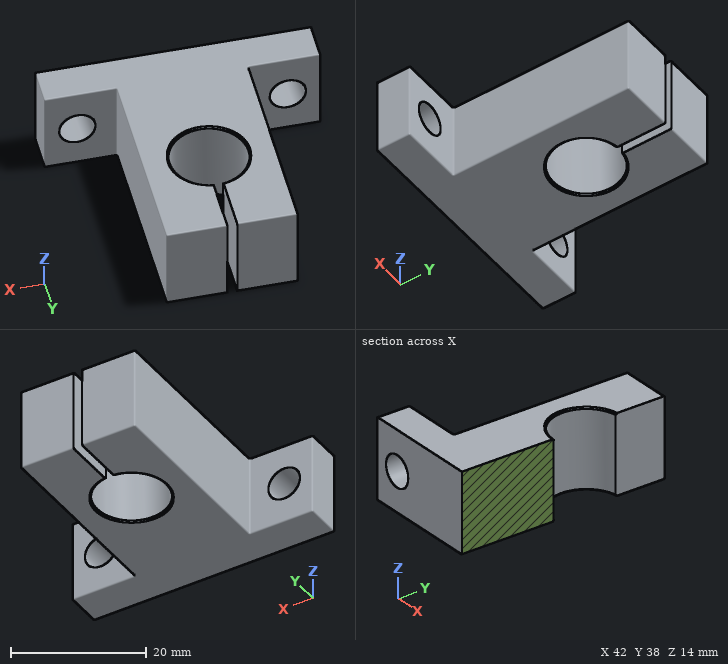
import cadquery as cq


foot_width = 42.0
foot_thickness = 6.0
block_depth = 14.0

column_width = 20.0
total_height = 38.0
bore_diameter = 12.0
bore_height = 23.0
slit_width = 1.5

mount_hole_diameter = 5.5
mount_hole_spacing = 32.0

edge_radius = 0.25
bore_chamfer = 0.25


def make_body():
    """Extrude the T outline and round all its edges except those around the mounting face."""
    foot_half = foot_width / 2
    column_half = column_width / 2
    outline = [
        (-foot_half, 0),
        (foot_half, 0),
        (foot_half, foot_thickness),
        (column_half, foot_thickness),
        (column_half, total_height),
        (-column_half, total_height),
        (-column_half, foot_thickness),
        (-foot_half, foot_thickness),
    ]
    tee = cq.Workplane("XY").polyline(outline).close().extrude(block_depth / 2, both=True)
    return tee.edges("not(#Y and <Y)").fillet(edge_radius)


def make_bore():
    """Shaft bore through the full depth, with a countersunk rim at both ends."""
    bore_radius = bore_diameter / 2
    half_depth = block_depth / 2
    bore_profile = [
        (0, -half_depth),
        (bore_radius + bore_chamfer, -half_depth),
        (bore_radius, bore_chamfer - half_depth),
        (bore_radius, half_depth - bore_chamfer),
        (bore_radius + bore_chamfer, half_depth),
        (0, half_depth),
    ]
    bore = cq.Workplane("XZ").polyline(bore_profile).close().revolve(360, (0, 0), (0, 1))
    return bore.translate((0, bore_height, 0))


def make_slit():
    """Clamping slit from the bore out through the free end of the column."""
    slit_length = total_height - bore_height
    return (
        cq.Workplane("XY")
        .center(0, bore_height + slit_length / 2)
        .rect(slit_width, slit_length)
        .extrude(block_depth / 2, both=True)
    )


def make_mount_holes():
    """Two plain holes through the foot, one either side of the column."""
    return (
        cq.Workplane("XZ")
        .rarray(mount_hole_spacing, 1, 2, 1)
        .circle(mount_hole_diameter / 2)
        .extrude(-foot_thickness)
    )


result = make_body().cut(make_bore()).cut(make_slit()).cut(make_mount_holes())